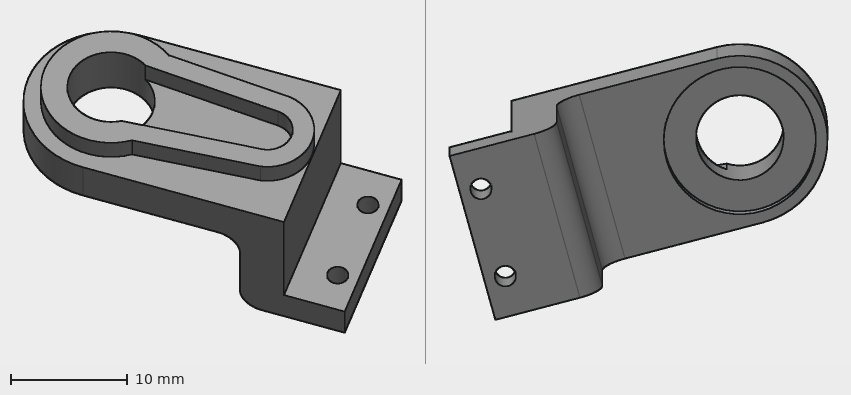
import cadquery as cq
import math

length = 31.2
width = 15.0
height = 15.3
plate_thickness = 4.0
rim_height = 2.0
wall_thickness = 4.0
foot_length = 5.5
foot_thickness = 3.0
bend_radius = 2.0

bore_diameter = 7.5
counterbore_diameter = 13.0
counterbore_depth = 1.0
hub_diameter = 12.0
arm_end_radius = 4.0
slot_end_radius = 2.15
arm_end_inset = 0.05
arm_side_root_x = 3.55
arm_side_end_x = 14.82
slot_side_root_x = 2.03
slot_side_end_x = 14.35

foot_hole_diameter = 1.8
foot_hole_spacing = 8.0
foot_hole_edge_distance = 1.85

nose_radius = width / 2
foot_end_x = length - nose_radius
plate_end_x = foot_end_x - foot_length
foot_hole_x = foot_end_x - foot_hole_edge_distance
wall_x = plate_end_x - wall_thickness
plate_top_z = height - rim_height
plate_bottom_z = plate_top_z - plate_thickness
arm_end_x = plate_end_x - arm_end_inset - arm_end_radius


def tapered_arm(root_radius, root_x, end_radius, end_x):
    """Tapered arm whose straight sides run from a circle about the bore axis to a rounded end."""
    root_y = math.sqrt(root_radius**2 - root_x**2)
    end_y = math.sqrt(end_radius**2 - (end_x - arm_end_x) ** 2)
    return (
        cq.Workplane("XY", origin=(0, 0, plate_top_z))
        .moveTo(0, -root_y)
        .lineTo(root_x, -root_y)
        .lineTo(end_x, -end_y)
        .threePointArc((arm_end_x + end_radius, 0), (end_x, end_y))
        .lineTo(root_x, root_y)
        .lineTo(0, root_y)
        .close()
        .extrude(rim_height)
    )


def cylinder(diameter, bottom_z, top_z):
    """Vertical cylinder on the bore axis."""
    return cq.Workplane("XY", origin=(0, 0, bottom_z)).circle(diameter / 2).extrude(top_z - bottom_z)


plate = (
    cq.Workplane("XY", origin=(0, 0, plate_bottom_z))
    .moveTo(plate_end_x, -nose_radius)
    .lineTo(0, -nose_radius)
    .threePointArc((-nose_radius, 0), (0, nose_radius))
    .lineTo(plate_end_x, nose_radius)
    .close()
    .extrude(plate_thickness)
)

bracket = (
    cq.Workplane("XZ", origin=(0, nose_radius, 0))
    .moveTo(wall_x - bend_radius, plate_bottom_z)
    .radiusArc((wall_x, plate_bottom_z - bend_radius), bend_radius)
    .lineTo(wall_x, bend_radius)
    .radiusArc((wall_x + bend_radius, 0), -bend_radius)
    .lineTo(foot_end_x, 0)
    .lineTo(foot_end_x, foot_thickness)
    .lineTo(plate_end_x, foot_thickness)
    .lineTo(plate_end_x, plate_bottom_z)
    .close()
    .extrude(width)
)

rim = cylinder(hub_diameter, plate_top_z, height)
rim = rim.union(tapered_arm(hub_diameter / 2, arm_side_root_x, arm_end_radius, arm_side_end_x))
rim = rim.cut(tapered_arm(bore_diameter / 2, slot_side_root_x, slot_end_radius, slot_side_end_x))

bore = cylinder(bore_diameter, plate_bottom_z, height)

counterbore = cylinder(counterbore_diameter, plate_bottom_z, plate_bottom_z + counterbore_depth)

foot_holes = (
    cq.Workplane("XY")
    .pushPoints([(foot_hole_x, side * foot_hole_spacing / 2) for side in (-1, 1)])
    .circle(foot_hole_diameter / 2)
    .extrude(foot_thickness)
)

result = plate.union(bracket).union(rim).cut(bore).cut(counterbore).cut(foot_holes)